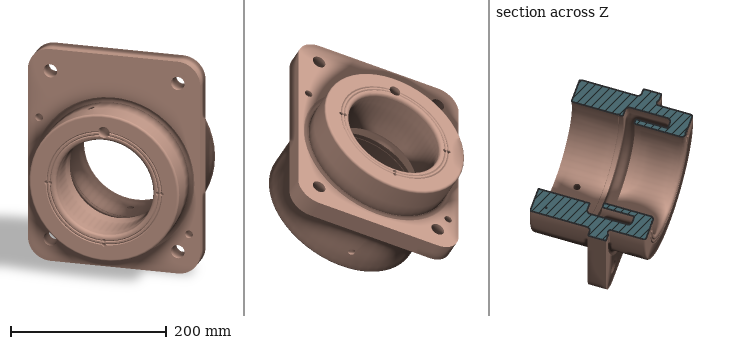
import cadquery as cq
import math


plate_width = 230.0
plate_height = 290.0
plate_thickness = 25.0
corner_radius = 30.0
plate_rise = 20.0
bolt_hole_diameter = 18.0
dowel_hole_diameter = 10.5
dowel_x = 100.0
dowel_z = 70.0

total_length = 155.0
front_hub_length = 47.8
front_hub_radius = 100.0
rear_hub_radius = 105.0
hub_edge_fillet = 3.0
rear_root_fillet = 5.0

relief_outer_radius = 107.3
relief_fillet = 3.2
relief_start = 1.2
relief_slope = math.radians(32)

bush_bore_radius = 65.0
bush_outer_radius = 72.2
bush_length = 68.2
bush_mouth_fillet = 5.0

chamber_radius = 85.3
chamber_front = 25.0
chamber_rear = 85.0
chamber_fillet = 5.0

rear_bore_radius = 70.8
ring_groove_y = 90.8
ring_groove_width = 1.0
ring_groove_depth = 1.0

inner_vee_radius = bush_outer_radius
outer_vee_radius = 76.5
vee_width = 2.3
vee_depth = vee_width / 2
pin_circle_radii = (71.5, 77.0)
pin_angles = (0, 180, 270)
pin_hole_diameter = 5.0
pin_hole_depth = 10.0

inlet_y = 30.0
inlet_diameter = 9.3
inlet_angle = 15
port_radius = 76.5
port_diameter = 15.0

drain_y = total_length - inlet_y
drain_diameter = inlet_diameter

plate_front = front_hub_length
plate_rear = plate_front + plate_thickness


def ring(profile):
    """Turn an (r, y) profile around the bore axis."""
    return profile.close().revolve(360, (0, 0, 0), (0, 1, 0))


def disc(radius, y_start, y_end):
    """Solid cylinder on the bore axis."""
    return axial_hole(0, 0, 2 * radius, y_start, y_end)


def axial_hole(x, z, diameter, y_start, y_end):
    """Cylinder parallel to the bore axis at the given x and z."""
    return (
        cq.Workplane("XZ", origin=(x, y_start, z))
        .circle(diameter / 2)
        .extrude(y_start - y_end)
    )


def plate():
    return (
        cq.Workplane("XZ", origin=(0, plate_front, plate_rise))
        .rect(plate_width, plate_height)
        .extrude(-plate_thickness)
        .edges("|Y")
        .fillet(corner_radius)
    )


def front_hub():
    return disc(front_hub_radius, 0, plate_rear).faces("<Y").edges().fillet(hub_edge_fillet)


def rear_hub():
    hub = disc(rear_hub_radius, plate_front, total_length)
    hub = hub.faces(">Y").edges().fillet(hub_edge_fillet)
    root = ring(
        cq.Workplane("XY")
        .moveTo(rear_hub_radius - rear_root_fillet, plate_rear)
        .lineTo(rear_hub_radius + rear_root_fillet, plate_rear)
        .radiusArc((rear_hub_radius, plate_rear + rear_root_fillet), rear_root_fillet)
        .lineTo(rear_hub_radius - rear_root_fillet, plate_rear + rear_root_fillet)
    )
    return hub.union(root)


def root_relief():
    """Rounded groove in the plate that rises along a shallow slope to the plate face."""
    centre_r = front_hub_radius + relief_fillet
    centre_y = plate_front - relief_start

    def arc_point(angle):
        return (
            centre_r + relief_fillet * math.sin(angle),
            centre_y + relief_fillet * math.cos(angle),
        )

    return ring(
        cq.Workplane("XY")
        .moveTo(front_hub_radius, centre_y)
        .threePointArc(arc_point(0), arc_point(relief_slope))
        .lineTo(relief_outer_radius, plate_front)
        .lineTo(relief_outer_radius, centre_y)
    )


def bush_bore():
    """Through bore of the bush, rounded at its mouth."""
    mouth_radius = bush_bore_radius + bush_mouth_fillet
    return ring(
        cq.Workplane("XY")
        .moveTo(0, 0)
        .lineTo(mouth_radius, 0)
        .radiusArc((bush_bore_radius, bush_mouth_fillet), bush_mouth_fillet)
        .lineTo(bush_bore_radius, chamber_rear)
        .lineTo(0, chamber_rear)
    )


def grease_chamber():
    """Rounded chamber with the bush tube left standing in its front part."""
    chamber = disc(chamber_radius, chamber_front, chamber_rear).edges().fillet(chamber_fillet)
    return chamber.cut(disc(bush_outer_radius, chamber_front, bush_length))


def rear_bore():
    bore = disc(rear_bore_radius, chamber_rear, total_length)
    groove = disc(
        rear_bore_radius + ring_groove_depth, ring_groove_y, ring_groove_y + ring_groove_width
    )
    return bore.union(groove)


def vee_groove(radius):
    return ring(
        cq.Workplane("XY")
        .moveTo(radius - vee_width / 2, 0)
        .lineTo(radius, vee_depth)
        .lineTo(radius + vee_width / 2, 0)
    )


def grease_inlet():
    """Leaning radial hole from the front hub surface into the chamber."""
    middle_radius = (bush_outer_radius + chamber_radius) / 2
    return (
        cq.Workplane("XY", origin=(0, inlet_y, middle_radius))
        .circle(inlet_diameter / 2)
        .extrude(front_hub_radius - middle_radius)
        .rotate((0, 0, 0), (0, 1, 0), -inlet_angle)
    )


def drain():
    """Hole straight down from the rear bore."""
    return (
        cq.Workplane("XY", origin=(0, drain_y, 0))
        .circle(drain_diameter / 2)
        .extrude(-rear_hub_radius)
    )


body = plate().union(front_hub()).union(rear_hub())
body = body.cut(root_relief()).cut(bush_bore()).cut(grease_chamber()).cut(rear_bore())

bolt_x = plate_width / 2 - corner_radius
bolt_z = plate_height / 2 - corner_radius
for side_x in (-1, 1):
    for side_z in (-1, 1):
        body = body.cut(
            axial_hole(
                side_x * bolt_x,
                plate_rise + side_z * bolt_z,
                bolt_hole_diameter,
                plate_front,
                plate_rear,
            )
        )
for side in (-1, 1):
    body = body.cut(
        axial_hole(side * dowel_x, -side * dowel_z, dowel_hole_diameter, plate_front, plate_rear)
    )

for vee_radius in (inner_vee_radius, outer_vee_radius):
    body = body.cut(vee_groove(vee_radius))
for pin_circle_radius in pin_circle_radii:
    for angle in pin_angles:
        pin_x = pin_circle_radius * math.cos(math.radians(angle))
        pin_z = pin_circle_radius * math.sin(math.radians(angle))
        body = body.cut(axial_hole(pin_x, pin_z, pin_hole_diameter, 0, pin_hole_depth))

body = body.cut(grease_inlet())
body = body.cut(axial_hole(0, port_radius, port_diameter, 0, bush_length))
body = body.cut(drain())

result = body